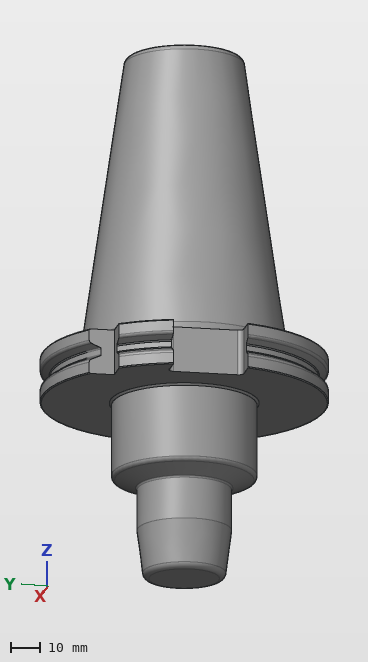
import cadquery as cq
import math

total_height = 182.1
flange_top = 77.2
flange_bottom = 61.5
gauge_height = 80.3
shoulder_height = 35.0
nose_top = 31.5
nose_taper_start = 16.8

gauge_radius = 70.0 / 2
flange_radius = 97.5 / 2
body_radius = 49.2 / 2
nose_radius = 32.0 / 2
nose_tip_radius = 13.8
taper_ratio = 7 / 24
small_end_radius = gauge_radius - (total_height - gauge_height) * taper_ratio / 2

small_end_round = 2.2
nose_round = 2.2
nose_root_round = 0.7
flange_rim_chamfer = 0.4
shoulder_round = 1.6
body_root_chamfer = 0.7

groove_height = 69.4
groove_floor_radius = 45.5
groove_floor_width = 2.5
groove_flank_angle = 30.0
groove_edge_round = 1.3
groove_floor_round = 0.5

slot_width = 25.7
slot_corner_round = 1.8
left_slot_floor = 37.7
right_slot_floor = 35.5
notch_x = -29.9
notch_y = 29.9
cut_margin = 1.8


def revolve_profile(points):
    """Revolve a closed (radius, height) outline about the Z axis."""
    return cq.Workplane("XZ").polyline(points).close().revolve(360, (0, 0, 0), (0, 1, 0))


def at_circle(radius, height):
    """Selector for the circular edge of a given radius and height."""
    margin = 0.1
    reach = radius + margin
    return cq.selectors.BoxSelector(
        (-reach, -reach, height - margin), (reach, reach, height + margin), boundingbox=True
    )


def make_shank():
    """Taper, body and nose in one turned piece."""
    shank = revolve_profile([
        (0, 0),
        (nose_tip_radius, 0),
        (nose_radius, nose_taper_start),
        (nose_radius, nose_top),
        (body_radius, shoulder_height),
        (body_radius, flange_bottom - body_root_chamfer),
        (body_radius + body_root_chamfer, flange_bottom),
        (gauge_radius, flange_bottom),
        (gauge_radius, gauge_height),
        (small_end_radius, total_height),
        (0, total_height),
    ])
    shank = shank.faces(">Z").edges("%CIRCLE").fillet(small_end_round)
    shank = shank.faces("<Z").edges("%CIRCLE").fillet(nose_round)
    shank = shank.edges(at_circle(nose_radius, nose_top)).fillet(nose_root_round)
    return shank.edges(at_circle(body_radius, shoulder_height)).fillet(shoulder_round)


def make_flange():
    """Flange disc with chamfered rims and a V groove with rounded edges and floor corners."""
    floor_half = groove_floor_width / 2
    flank_rise = (flange_radius - groove_floor_radius) * math.tan(math.radians(groove_flank_angle))
    mouth_half = floor_half + flank_rise
    flange = revolve_profile([
        (0, flange_bottom),
        (flange_radius, flange_bottom),
        (flange_radius, groove_height - mouth_half),
        (groove_floor_radius, groove_height - floor_half),
        (groove_floor_radius, groove_height + floor_half),
        (flange_radius, groove_height + mouth_half),
        (flange_radius, flange_top),
        (0, flange_top),
    ])
    for side in (-1, 1):
        mouth_edge = at_circle(flange_radius, groove_height + side * mouth_half)
        flange = flange.edges(mouth_edge).fillet(groove_edge_round)
        floor_edge = at_circle(groove_floor_radius, groove_height + side * floor_half)
        flange = flange.edges(floor_edge).fillet(groove_floor_round)
    for rim_height in (flange_bottom, flange_top):
        flange = flange.edges(at_circle(flange_radius, rim_height)).chamfer(flange_rim_chamfer)
    return flange


def flange_cutter(x_min, x_max, y_min, y_max):
    """Block that passes through the whole flange thickness."""
    height = flange_top - flange_bottom
    return (
        cq.Workplane("XY", origin=(x_min, y_min, flange_bottom))
        .box(x_max - x_min, y_max - y_min, height, centered=False)
    )


def cut_flange(flange):
    """Cut the two drive slots and the square-cornered orientation notch."""
    outside = flange_radius + cut_margin
    half_width = slot_width / 2
    left_slot = flange_cutter(-outside, -left_slot_floor, -half_width, half_width)
    right_slot = flange_cutter(right_slot_floor, outside, -half_width, half_width)
    notch = flange_cutter(-outside, notch_x, notch_y, outside)
    flange = flange.cut(left_slot.edges("|Z and >X").fillet(slot_corner_round))
    flange = flange.cut(right_slot.edges("|Z and <X").fillet(slot_corner_round))
    return flange.cut(notch)


result = cut_flange(make_flange()).union(make_shank())